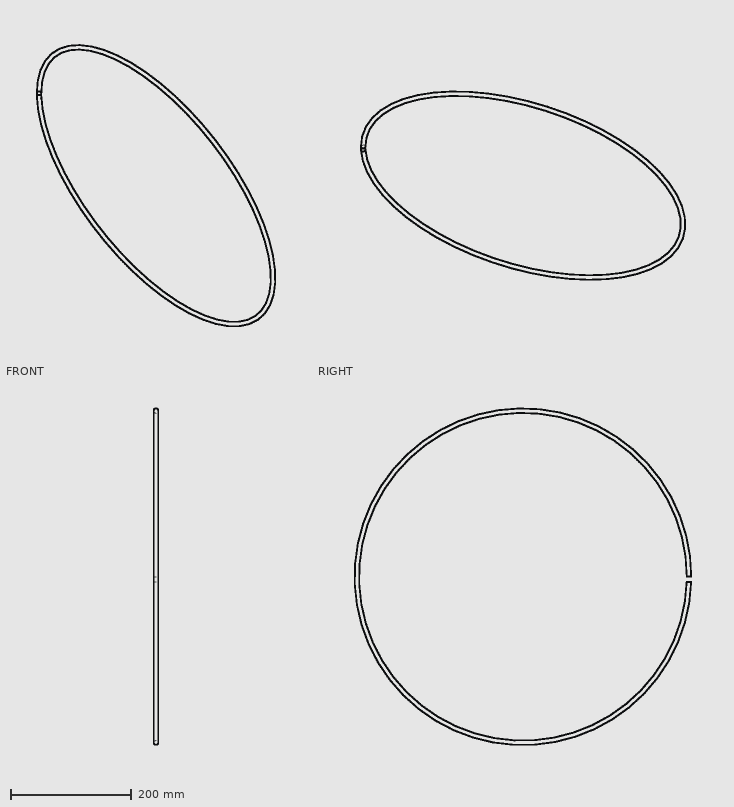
import cadquery as cq
import math

outer_diameter = 559.0
wire_diameter = 8.0
gap_width = 8.5

wire_radius = wire_diameter / 2
center_radius = outer_diameter / 2 - wire_radius

gap_angle = math.degrees(math.asin(gap_width / center_radius))
sweep_angle = 360 - gap_angle

result = (
    cq.Workplane("XY")
    .center(0, center_radius)
    .circle(wire_radius)
    .revolve(sweep_angle, (0, -center_radius, 0), (1, -center_radius, 0))
)